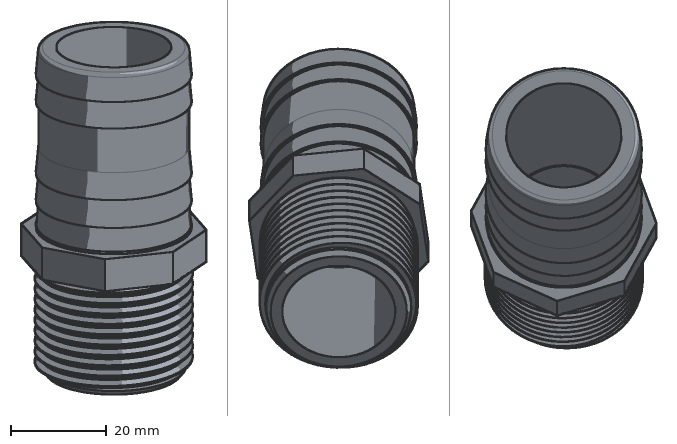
import cadquery as cq
import math

total_height = 72.05
thread_start = 1.95
collar_bottom = 24.9
collar_top = 32.05
seat_top = 32.6
bottom_barb_edge = 37.9
middle_barb_edge = 44.1
neck_bottom = 50.0
neck_top = 60.0
top_barb_edge = 65.9

neck_radius = 31.5 / 2
barb_radius = 16.3
last_flank_radius = 16.15
hose_end_round = 0.95

collar_sides = 8
collar_flats = 35.8

thread_root_radius = 30.25 / 2
thread_crest_radius = 16.5
pitch = 2.3
thread_turns = 11
thread_base_width = 1.9
thread_crest_width = 0.2
crest_height_at_start = 0.8
thread_embed = 0.2
chamfer_radial = 0.95
chamfer_height = 1.15

hose_bore_diameter = 24.0
thread_bore_diameter = 23.55


def hose_end():
    """Barbed spigot, revolved from its half profile."""
    outline = [
        (0, total_height),
        (neck_radius, total_height),
        (barb_radius, top_barb_edge),
        (neck_radius, top_barb_edge),
        (barb_radius, neck_top),
        (neck_radius, neck_top),
        (neck_radius, neck_bottom),
        (barb_radius, middle_barb_edge),
        (neck_radius, middle_barb_edge),
        (barb_radius, bottom_barb_edge),
        (neck_radius, bottom_barb_edge),
        (last_flank_radius, seat_top),
        (barb_radius, seat_top),
        (barb_radius, collar_bottom),
        (0, collar_bottom),
    ]
    spigot = cq.Workplane("XZ").polyline(outline).close().revolve(360, (0, 0), (0, 1))
    return spigot.faces(">Z").edges().fillet(hose_end_round)


def collar():
    """Octagonal wrench collar with flats facing X and Y."""
    corner_diameter = collar_flats / math.cos(math.pi / collar_sides)
    return (
        cq.Workplane("XY", origin=(0, 0, collar_bottom))
        .transformed(rotate=(0, 0, 180 / collar_sides))
        .polygon(collar_sides, corner_diameter)
        .extrude(collar_top - collar_bottom)
    )


def thread_core():
    """Plain cylinder under the thread, chamfered at its open end."""
    tip_radius = thread_root_radius - chamfer_radial
    outline = [
        (0, 0),
        (tip_radius, 0),
        (thread_root_radius, chamfer_height),
        (thread_root_radius, collar_top),
        (0, collar_top),
    ]
    return cq.Workplane("XZ").polyline(outline).close().revolve(360, (0, 0), (0, 1))


def thread_ridge():
    """Right-handed helical ridge, cut flat at its lower end and closed inside the collar."""
    inner_radius = thread_root_radius - thread_embed
    half_crest = thread_crest_width / 2
    flank_run = (thread_base_width / 2 - half_crest) / (thread_crest_radius - thread_root_radius)
    half_inner = half_crest + flank_run * (thread_crest_radius - inner_radius)
    section = [
        (inner_radius, -half_inner),
        (thread_crest_radius, -half_crest),
        (thread_crest_radius, half_crest),
        (inner_radius, half_inner),
    ]
    helix = cq.Workplane(cq.Wire.makeHelix(pitch, pitch * thread_turns, thread_root_radius))
    ridge = cq.Workplane("XZ").polyline(section).close().sweep(helix, isFrenet=True)
    ridge = ridge.translate((0, 0, crest_height_at_start))
    run = (
        cq.Workplane("XY", origin=(0, 0, thread_start))
        .circle(thread_crest_radius + pitch)
        .extrude(collar_bottom + pitch / 4 - thread_start)
    )
    return ridge.intersect(run)


def bore():
    """Through bore, slightly wider on the hose side of the collar."""
    lower = cq.Workplane("XY").circle(thread_bore_diameter / 2).extrude(total_height)
    upper = (
        cq.Workplane("XY", origin=(0, 0, collar_top))
        .circle(hose_bore_diameter / 2)
        .extrude(total_height - collar_top)
    )
    return lower.union(upper)


threaded_end = thread_core().union(thread_ridge())
result = threaded_end.union(collar()).union(hose_end()).cut(bore())